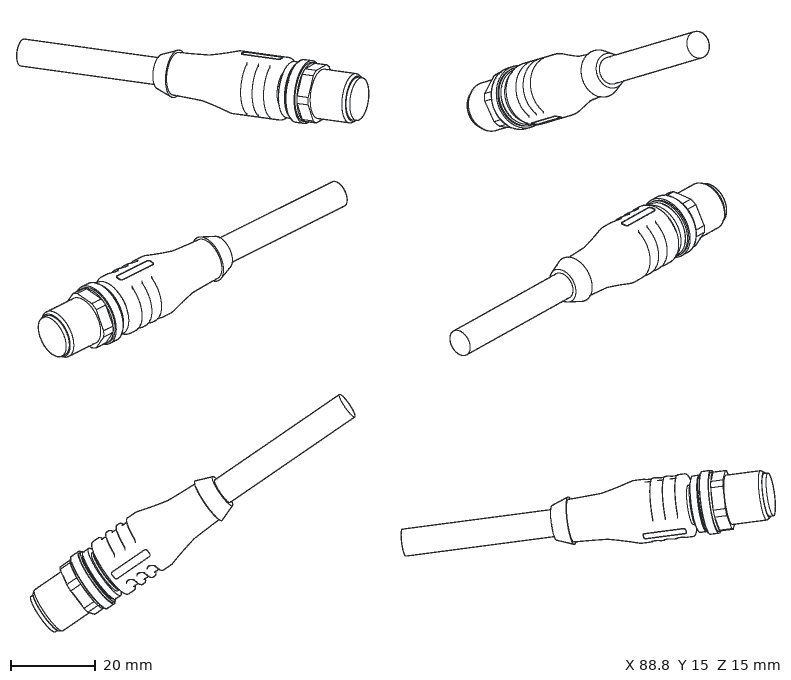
import cadquery as cq
import math


SLEEVE_START = 36.4
LIP_END = 40.5
WAIST_END = 48.6
GRIP_START = 56.4
GRIP_END = 69.4
NECK_END = 70.2
DISC_END = 70.8
SEAL_END = 72.4
BACK_STEP_START = 72.7
COLLAR_START = 73.2
COLLAR_END = 75.3
HEX_START = 75.8
HEX_END = 78.8
THREAD_END = 87.1
TIP_START = 87.8
LENGTH = 88.8

CABLE_DIA = 6.5
SLEEVE_START_DIA = 8.35
LIP_DIA = 11.4
WAIST_DIA = 10.2
WAIST_END_DIA = 11.0
GRIP_DIA = 15.0
NECK_DIA = 9.4
DISC_DIA = 10.8
SEAL_DIA = 13.5
SEAL_GROOVE_DIA = 12.6
STEP_DIA = 14.1
THREAD_DIA = 11.8
THREAD_END_DIA = 10.8
TIP_DIA = 10.2

WAIST_SAG = 0.03
FLARE_SAG = 0.1

GRIP_EDGE_RADIUS = 0.5

HEX_FLATS = 13.0
HEX_CORNER_DIA = 14.0

GRIP_FEATURES_CENTER = 63.1

GROOVE_COUNT = 3
GROOVE_PITCH = 3.0
GROOVE_WIDTH = 2.0
GROOVE_FLOOR_DIA = 13.5
GROOVE_TIP_Y = 3.1
GROOVE_EDGE_RADIUS = 0.2
GROOVE_FLOOR_RADIUS = 0.2
GROOVES_START = GRIP_FEATURES_CENTER - GROOVE_COUNT * GROOVE_PITCH / 2
GROOVES_END = GRIP_FEATURES_CENTER + GROOVE_COUNT * GROOVE_PITCH / 2

EDGE_FRACTIONS = (0.0, 0.3, 0.6, 1.0)
TOLERANCE = 0.001

RECESS_LENGTH = 10.3
RECESS_WIDTH = 2.0
RECESS_CORNER_RADIUS = 0.49
RECESS_DEPTH = 0.2


def rod(start, end, diameter):
    """Cylinder on the X axis between two stations."""
    return cq.Workplane("YZ").workplane(offset=start).circle(diameter / 2).extrude(end - start)


def groove_edges(body, diameter):
    """Edges around the finger grooves that lie on a cylinder about the X axis."""

    def lies_on_cylinder(edge):
        points = [edge.positionAt(fraction) for fraction in EDGE_FRACTIONS]
        return all(
            abs(math.hypot(point.y, point.z) - diameter / 2) < TOLERANCE
            and GROOVES_START < point.x < GROOVES_END
            for point in points
        )

    return body.newObject([edge for edge in body.edges().vals() if lies_on_cylinder(edge)])


def make_sleeve():
    """Cable, flared lip, curved waist and cylindrical grip in one revolved outline."""
    waist_mid = (LIP_END + WAIST_END) / 2
    waist_mid_radius = (WAIST_DIA + WAIST_END_DIA) / 4 - WAIST_SAG
    flare_mid = (WAIST_END + GRIP_START) / 2
    flare_mid_radius = (WAIST_END_DIA + GRIP_DIA) / 4 - FLARE_SAG
    return (
        cq.Workplane("XZ")
        .lineTo(0, CABLE_DIA / 2)
        .lineTo(SLEEVE_START, CABLE_DIA / 2)
        .lineTo(SLEEVE_START, SLEEVE_START_DIA / 2)
        .lineTo(LIP_END, LIP_DIA / 2)
        .lineTo(LIP_END, WAIST_DIA / 2)
        .threePointArc((waist_mid, waist_mid_radius), (WAIST_END, WAIST_END_DIA / 2))
        .threePointArc((flare_mid, flare_mid_radius), (GRIP_START, GRIP_DIA / 2))
        .lineTo(GRIP_END, GRIP_DIA / 2)
        .lineTo(GRIP_END, 0)
        .close()
        .revolve(360, (0, 0, 0), (1, 0, 0))
        .faces(">X")
        .edges()
        .fillet(GRIP_EDGE_RADIUS)
    )


def make_finger_groove(x, side):
    """Cutter for a round-ended groove wrapping one side of the grip, with a rounded floor edge."""
    end_center = GROOVE_TIP_Y + GROOVE_WIDTH / 2
    reach = GRIP_DIA
    stadium = (
        cq.Workplane("XY")
        .center(x, side * (end_center + reach / 2))
        .slot2D(reach + GROOVE_WIDTH, GROOVE_WIDTH, 90)
        .extrude(GRIP_DIA, both=True)
    )
    cutter = stadium.cut(rod(GRIP_START, GRIP_END, GROOVE_FLOOR_DIA))
    return groove_edges(cutter, GROOVE_FLOOR_DIA).fillet(GROOVE_FLOOR_RADIUS)


def make_recess():
    """Cutter for the recess on the top of the grip."""
    floor_z = GRIP_DIA / 2 - RECESS_DEPTH
    return (
        cq.Workplane("XY", origin=(GRIP_FEATURES_CENTER, 0, floor_z))
        .rect(RECESS_LENGTH, RECESS_WIDTH)
        .extrude(2 * RECESS_DEPTH)
        .edges("|Z")
        .fillet(RECESS_CORNER_RADIUS)
    )


def make_hex_nut():
    """Hexagon with flats facing up and down and its corners turned round."""
    hexagon = (
        cq.Workplane("YZ")
        .workplane(offset=HEX_START)
        .polygon(6, HEX_FLATS / math.cos(math.pi / 6))
        .extrude(HEX_END - HEX_START)
    )
    return hexagon.intersect(rod(HEX_START, HEX_END, HEX_CORNER_DIA))


def make_plug():
    """Neck, sealing disc, collar, hexagonal nut and bevelled plug barrel in axial order."""
    thread_end = (
        cq.Workplane("YZ")
        .workplane(offset=THREAD_END)
        .circle(THREAD_DIA / 2)
        .workplane(offset=TIP_START - THREAD_END)
        .circle(THREAD_END_DIA / 2)
        .loft()
    )
    return (
        rod(GRIP_END, NECK_END, NECK_DIA)
        .union(rod(NECK_END, DISC_END, DISC_DIA))
        .union(rod(DISC_END, SEAL_END, SEAL_DIA))
        .union(rod(SEAL_END, BACK_STEP_START, SEAL_GROOVE_DIA))
        .union(rod(BACK_STEP_START, HEX_START, STEP_DIA))
        .union(rod(COLLAR_START, COLLAR_END, GRIP_DIA))
        .union(make_hex_nut())
        .union(rod(HEX_END, THREAD_END, THREAD_DIA))
        .union(thread_end)
        .union(rod(TIP_START, LENGTH, TIP_DIA))
    )


sleeve = make_sleeve()
for index in range(GROOVE_COUNT):
    groove_x = GRIP_FEATURES_CENTER + (index - (GROOVE_COUNT - 1) / 2) * GROOVE_PITCH
    for side in (-1, 1):
        sleeve = sleeve.cut(make_finger_groove(groove_x, side))

sleeve = groove_edges(sleeve, GRIP_DIA).fillet(GROOVE_EDGE_RADIUS)

for flip_angle in (0, 180):
    sleeve = sleeve.cut(make_recess().rotate((0, 0, 0), (1, 0, 0), flip_angle))

result = sleeve.union(make_plug())